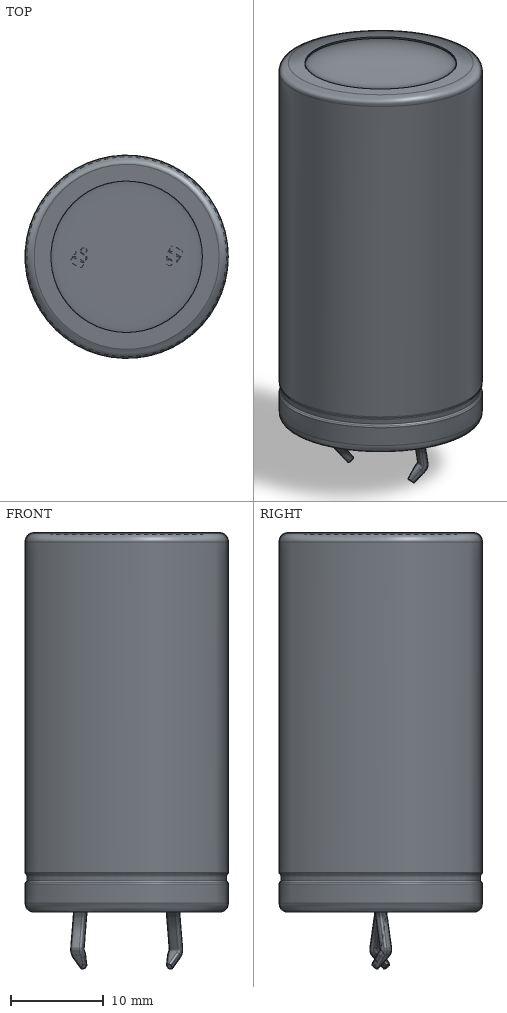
import cadquery as cq
import math

body_diameter = 21.95
body_height = 41.0
edge_radius = 1.0
sleeve_thickness = 0.2
top_opening_diameter = 16.35

groove_centre_z = 3.7
groove_floor_width = 0.5
groove_arc_radius = 0.25

pin_spacing = 10.0
pin_width = 1.4
pin_thickness = 0.8
pin_corner_radius = 0.25
pin_drop = 6.15
pin_bend_drop = 4.1
pin_embed = 0.45
pin_lean_angle = 9.0
pin_hook_angle = 40.0
pin_bend_radius = 0.5
pin_tip_width = 0.55
pin_taper_offset = 0.4
pin_facing_angle = -120.0


def make_body():
    """Round can with a crimp groove and a shallow round recess in its top."""
    radius = body_diameter / 2
    floor_radius = radius - sleeve_thickness
    half_floor = groove_floor_width / 2
    wall_angle = math.acos(1 - sleeve_thickness / (2 * groove_arc_radius))
    arc_height = groove_arc_radius * math.sin(wall_angle)
    half_arc_height = groove_arc_radius * math.sin(wall_angle / 2)
    half_arc_depth = groove_arc_radius * (1 - math.cos(wall_angle / 2))
    middle_radius = (radius + floor_radius) / 2
    half_rim = half_floor + 2 * arc_height

    def wall_point(point_radius, height_from_centre):
        """Profile point given by its height above the middle of the groove."""
        return (point_radius, groove_centre_z + height_from_centre)

    rim_arc_height = half_rim - half_arc_height
    floor_arc_height = half_floor + half_arc_height
    arc_join_height = half_floor + arc_height
    profile = (
        cq.Workplane("XZ")
        .lineTo(radius, 0)
        .lineTo(*wall_point(radius, -half_rim))
        .threePointArc(wall_point(radius - half_arc_depth, -rim_arc_height),
                       wall_point(middle_radius, -arc_join_height))
        .threePointArc(wall_point(floor_radius + half_arc_depth, -floor_arc_height),
                       wall_point(floor_radius, -half_floor))
        .lineTo(*wall_point(floor_radius, half_floor))
        .threePointArc(wall_point(floor_radius + half_arc_depth, floor_arc_height),
                       wall_point(middle_radius, arc_join_height))
        .threePointArc(wall_point(radius - half_arc_depth, rim_arc_height),
                       wall_point(radius, half_rim))
        .lineTo(radius, body_height)
        .lineTo(0, body_height)
        .close()
    )
    body = profile.revolve(360, (0, 0, 0), (0, 1, 0))
    body = body.faces("<Z or >Z").edges().fillet(edge_radius)
    return body.faces(">Z").workplane().circle(top_opening_diameter / 2).cutBlind(-sleeve_thickness)


def make_pin():
    """One pin hanging from the origin: it leans towards +X and its width runs along Y."""
    lean = math.radians(pin_lean_angle)
    hook = math.radians(pin_hook_angle)
    half_thickness = pin_thickness / 2

    bend_start_x = pin_bend_drop * math.tan(lean)
    bend_x = bend_start_x - pin_bend_radius * math.cos(lean)
    bend_z = -pin_bend_drop + pin_bend_radius * math.sin(lean)

    def around_bend(distance, angle):
        """Point at a distance from the bend centre, at an angle below +X."""
        return (bend_x + distance * math.cos(angle), bend_z - distance * math.sin(angle))

    def shifted(point, length, angle):
        """Point moved upwards by a length along a line tilted by an angle from vertical."""
        return (point[0] + length * math.sin(angle), point[1] + length * math.cos(angle))

    outer = pin_bend_radius + half_thickness
    inner = pin_bend_radius - half_thickness
    mid_angle = (hook - lean) / 2
    shank_length = (pin_bend_drop + pin_embed) / math.cos(lean)
    outer_bend_end = around_bend(outer, hook)
    tip_length = (pin_drop + outer_bend_end[1]) / math.cos(hook)

    plate = (
        cq.Workplane("XZ")
        .moveTo(*shifted(around_bend(inner, -lean), shank_length, -lean))
        .lineTo(*around_bend(inner, -lean))
        .threePointArc(around_bend(inner, mid_angle), around_bend(inner, hook))
        .lineTo(*shifted(around_bend(inner, hook), -tip_length, hook))
        .lineTo(*shifted(outer_bend_end, -tip_length, hook))
        .lineTo(*outer_bend_end)
        .threePointArc(around_bend(outer, mid_angle), around_bend(outer, -lean))
        .lineTo(*shifted(around_bend(outer, -lean), shank_length, -lean))
        .close()
        .extrude(pin_width / 2, both=True)
    )

    tip_start = around_bend(pin_bend_radius, hook)
    tip_plane = cq.Plane(
        origin=(tip_start[0], 0, tip_start[1]),
        xDir=(0, 1, 0),
        normal=(math.cos(hook), 0, -math.sin(hook)),
    )
    half_width = pin_width / 2
    for side in (-1, 1):
        wedge = (
            cq.Workplane(tip_plane)
            .moveTo(side * half_width, -pin_taper_offset)
            .lineTo(side * pin_tip_width / 2, -tip_length)
            .lineTo(side * half_width, -tip_length)
            .close()
            .extrude(pin_thickness, both=True)
        )
        plate = plate.cut(wedge)

    end_edges = plate.faces(">Z or <Z").edges().vals()
    lengthwise_edges = plate.edges("not |Y").filter(
        lambda edge: not any(edge.isSame(end_edge) for end_edge in end_edges)
    )
    return lengthwise_edges.fillet(pin_corner_radius)


pin = make_pin().rotate((0, 0, 0), (0, 0, 1), pin_facing_angle)
left_pin = pin.translate((-pin_spacing / 2, 0, 0))
right_pin = left_pin.rotate((0, 0, 0), (0, 0, 1), 180)

result = make_body().union(left_pin).union(right_pin)